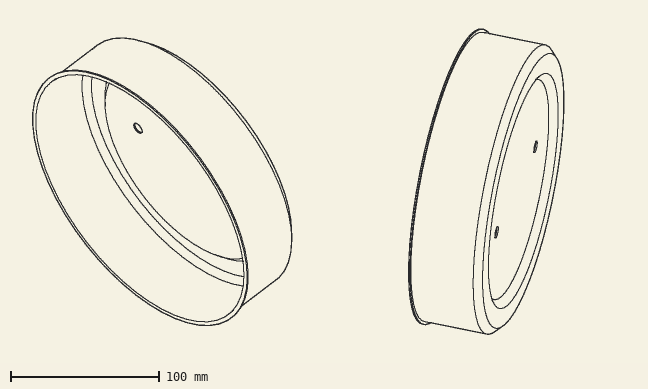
import cadquery as cq
import math

depth = 50.0
flange_diameter = 203.0
wall_diameter = 199.0
sheet = 1.0

bevel = 5.0

panel_radius = 76.1
panel_rise = 5.0

hole_diameter = 8.0
hole_spacing = 90.1

flange_radius = flange_diameter / 2
wall_radius = wall_diameter / 2
bore_radius = wall_radius - sheet

bend_shift = sheet * math.tan(math.radians(22.5))
inner_bevel = bevel + bend_shift - sheet
floor_level = depth - sheet
panel_level = floor_level - panel_rise
panel_foot_radius = panel_radius + panel_rise


def make_pan():
    """Revolve the sheet cross-section, drawn as (radius, distance along Y)."""
    section = [
        (0, panel_level),
        (panel_radius, panel_level),
        (panel_foot_radius, floor_level),
        (bore_radius - inner_bevel, floor_level),
        (bore_radius, floor_level - inner_bevel),
        (bore_radius, 0),
        (flange_radius, 0),
        (flange_radius, sheet),
        (wall_radius, sheet),
        (wall_radius, depth - bevel),
        (wall_radius - bevel, depth),
        (panel_foot_radius - bend_shift, depth),
        (panel_radius - bend_shift, panel_level + sheet),
        (0, panel_level + sheet),
    ]
    return cq.Workplane("XY").polyline(section).close().revolve(360, (0, 0, 0), (0, 1, 0))


def make_holes():
    """Two cylinders along Y, spaced evenly about the axis on X."""
    return (
        cq.Workplane("XZ")
        .pushPoints([(side * hole_spacing / 2, 0) for side in (-1, 1)])
        .circle(hole_diameter / 2)
        .extrude(-depth)
    )


result = make_pan().cut(make_holes())